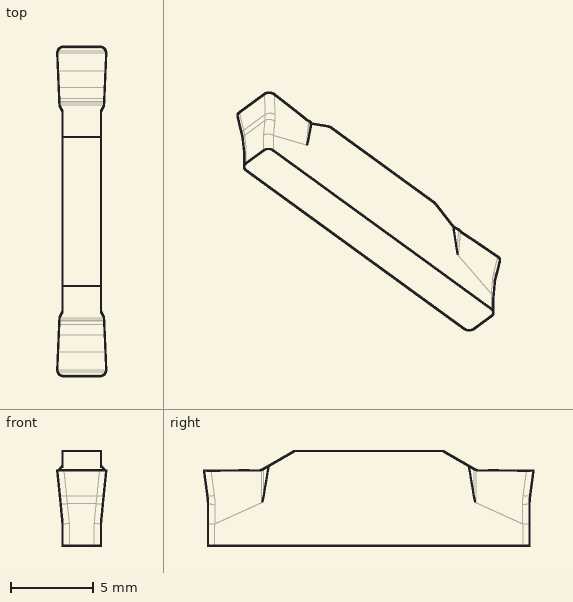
import cadquery as cq
import math


head_width = 3.0
overall_length = 20.08
overall_height = 5.78

body_width = 2.35
top_flat_length = 9.05
ramp_angle = 30.0

edge_height = 4.60
flank_angle = 7.8
flank_foot_inset = 0.245
flank_blend_radius = 3.5
corner_radius = 0.42

side_relief_angle = 5.5
back_taper_angle = 2.5
shoulder_y = 6.46
shoulder_angle = 30.0
shoulder_radius = 0.27

chip_former_breaks = [
    (9.95, 0.0),
    (9.76, -0.015),
    (9.65, -0.019),
    (8.56, 0.0),
    (7.53, 0.010),
    (6.87, 0.0),
]
chip_wall_start_y = 6.68
chip_wall_radius = 0.25
chip_wall_angle = 18.0

shoulder_reach = 1.2
head_root_z = 0.8
margin = 0.1

half_length = overall_length / 2
foot_y = half_length - flank_foot_inset
half_top_flat = top_flat_length / 2


def slope(angle):
    return math.tan(math.radians(angle))


flank_foot_z = edge_height - flank_foot_inset / slope(flank_angle)


def chip_wall_arc_point(angle):
    """Point on the concave arc at the root of the chip wall, where it has turned up by angle."""
    turn = math.radians(angle)
    y = chip_wall_start_y - chip_wall_radius * math.sin(turn)
    z = edge_height + chip_wall_radius * (1 - math.cos(turn))
    return (y, z)


def chip_wall_top():
    """Point where the straight chip wall meets the ramp of the body."""
    arc_end_y, arc_end_z = chip_wall_arc_point(chip_wall_angle)
    ramp_z = overall_height - (arc_end_y - half_top_flat) * slope(ramp_angle)
    run = (arc_end_z - ramp_z) / (slope(ramp_angle) - slope(chip_wall_angle))
    return (arc_end_y - run, arc_end_z + run * slope(chip_wall_angle))


def half_profile():
    """Side outline of the +Y half, extruded beyond the full head width."""
    outline = (
        cq.Workplane("YZ")
        .moveTo(0, 0)
        .lineTo(foot_y, 0)
        .lineTo(foot_y, flank_foot_z)
        .lineTo(half_length, edge_height)
    )
    for y, rise in chip_former_breaks:
        outline = outline.lineTo(y, edge_height + rise)
    outline = (
        outline.lineTo(chip_wall_start_y, edge_height)
        .threePointArc(chip_wall_arc_point(chip_wall_angle / 2), chip_wall_arc_point(chip_wall_angle))
        .lineTo(*chip_wall_top())
        .lineTo(half_top_flat, overall_height)
        .lineTo(0, overall_height)
        .close()
    )
    solid = outline.extrude(head_width, both=True)
    flank_break = cq.selectors.NearestToPointSelector((0, foot_y, flank_foot_z))
    return solid.edges(flank_break).fillet(flank_blend_radius)


def relieved_side():
    """Space inside the +X side of a head: back-tapered, closed by a shoulder, leaning in downwards."""
    widest_y = half_length - corner_radius
    inner_y = shoulder_y - shoulder_reach
    outer_y = half_length + margin
    far_x = -2 * head_width
    relief = slope(side_relief_angle)
    widest_x = head_width / 2 + (overall_height - edge_height) * relief
    outer_x = widest_x + (outer_y - widest_y) * slope(back_taper_angle)
    shoulder_x = widest_x - (widest_y - shoulder_y) * slope(back_taper_angle)
    inner_x = shoulder_x - shoulder_reach * slope(shoulder_angle)
    section = cq.Wire.makePolygon(
        [
            cq.Vector(far_x, inner_y, overall_height),
            cq.Vector(inner_x, inner_y, overall_height),
            cq.Vector(shoulder_x, shoulder_y, overall_height),
            cq.Vector(outer_x, outer_y, overall_height),
            cq.Vector(far_x, outer_y, overall_height),
        ],
        close=True,
    )
    depth = overall_height - head_root_z
    lean = cq.Vector(-depth * relief, 0, -depth)
    side = cq.Workplane(cq.Solid.extrudeLinear(section, [], lean))
    shoulder_edge = cq.selectors.NearestToPointSelector(
        (shoulder_x + lean.x / 2, shoulder_y, overall_height + lean.z / 2)
    )
    return side.edges(shoulder_edge).fillet(shoulder_radius)


def round_front_corners(half):
    """Round the edges between the sides and the end face, from the bottom up to the cutting edge."""
    end_face_zone = cq.selectors.BoxSelector(
        (-head_width, foot_y - margin, margin),
        (head_width, half_length + margin, edge_height - margin),
    )
    return half.edges(end_face_zone).edges("not |X").fillet(corner_radius)


def half_insert():
    """The +Y half: the slim body joined to one head."""
    profile = half_profile()
    slab = cq.Workplane("XY").box(
        body_width, 2 * overall_length, overall_height, centered=(True, True, False)
    )
    side = relieved_side()
    head = profile.intersect(side).intersect(side.mirror("YZ"))
    body = profile.intersect(slab)
    return round_front_corners(body.union(head))


half = half_insert()
result = half.union(half.rotate((0, 0, 0), (0, 0, 1), 180))